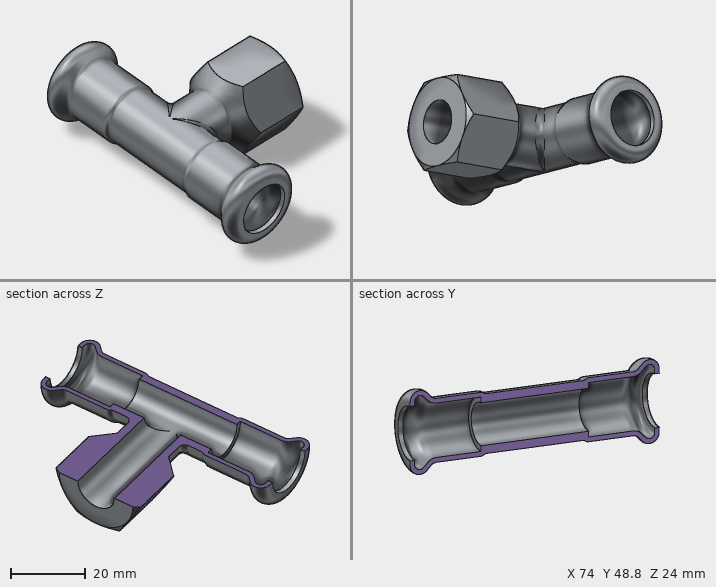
import cadquery as cq
import math

run_length = 74.0
tube_radius = 16.8 / 2
socket_radius = 18.0 / 2
bore_radius = 5.9
pipe_radius = 15.0 / 2

bead_radius = 2.95
bead_crest_radius = 11.8
bead_center_radius = bead_crest_radius - bead_radius
flank_blend_radius = 2.1

step_inset = 21.0
step_angle = math.radians(31)
step_outer_blend = 1.4
step_inner_blend = 0.8

pipe_stop_depth = 21.0

bead_wall = 1.5

branch_end = 37.0
cone_blend_radius = 0.5
hex_flats = 24.0
hex_corners = hex_flats / math.cos(math.radians(30))
cone_start = 15.0
junction_fillet = 1.8
blend_root_depth = 1.5
blend_sections = 11
blend_end_angle = math.radians(86)
end_chamfer_angle = math.radians(30)


def draw_bead(profile, wall, foot_radius):
    """Add the bead curve to a profile, set in by the wall, down to the straight socket."""
    arc_radius = bead_radius - wall
    blend_radius = flank_blend_radius + wall
    bead_x = bead_radius - run_length / 2
    diagonal = math.sqrt(0.5)
    flank_top_x = bead_x + arc_radius * diagonal
    flank_top_radius = bead_center_radius + arc_radius * diagonal
    flank_foot_radius = foot_radius + blend_radius * (1 - diagonal)
    flank_foot_x = flank_top_x + flank_top_radius - flank_foot_radius
    blend_end_x = flank_foot_x + blend_radius * diagonal
    half_angle = math.radians(22.5)
    bead_mid = (
        bead_x - arc_radius * math.sin(half_angle),
        bead_center_radius + arc_radius * math.cos(half_angle),
    )
    blend_mid = (
        blend_end_x - blend_radius * math.sin(half_angle),
        foot_radius + blend_radius * (1 - math.cos(half_angle)),
    )
    return (
        profile.lineTo(bead_x - arc_radius, bead_center_radius)
        .threePointArc(bead_mid, (flank_top_x, flank_top_radius))
        .lineTo(flank_foot_x, flank_foot_radius)
        .threePointArc(blend_mid, (blend_end_x, foot_radius))
    )


def half_run():
    """Outer body of the run from its -X mouth to the middle plane."""
    half_length = run_length / 2
    step_x = step_inset - half_length

    def outer_blend_point(angle):
        return (
            step_x + step_outer_blend * math.sin(angle),
            socket_radius - step_outer_blend * (1 - math.cos(angle)),
        )

    slope_top = outer_blend_point(step_angle)
    slope_foot_radius = tube_radius + step_inner_blend * (1 - math.cos(step_angle))
    slope_foot_x = slope_top[0] + (slope_top[1] - slope_foot_radius) / math.tan(step_angle)
    step_end_x = slope_foot_x + step_inner_blend * math.sin(step_angle)
    inner_mid = (
        step_end_x - step_inner_blend * math.sin(step_angle / 2),
        tube_radius + step_inner_blend * (1 - math.cos(step_angle / 2)),
    )

    profile = cq.Workplane("XY").moveTo(-half_length, 0)
    return (
        draw_bead(profile, 0, socket_radius)
        .lineTo(step_x, socket_radius)
        .threePointArc(outer_blend_point(step_angle / 2), slope_top)
        .lineTo(slope_foot_x, slope_foot_radius)
        .threePointArc(inner_mid, (step_end_x, tube_radius))
        .lineTo(0, tube_radius)
        .lineTo(0, 0)
        .close()
        .revolve(360, (0, 0, 0), (1, 0, 0))
    )


def cylinder_x(radius, start, end):
    return cq.Workplane("YZ").workplane(offset=start).circle(radius).extrude(end - start)


def cylinder_y(radius, start, end):
    return cq.Workplane("XZ").workplane(offset=-start).circle(radius).extrude(start - end)


def junction_blend():
    """Concave blend in the +X corner between run and branch, fading out toward the crossing points."""
    tangent_far = tube_radius + junction_fillet
    arc_mid = tangent_far - junction_fillet * math.sqrt(0.5)
    root = tube_radius - blend_root_depth
    sections = []
    for index in range(blend_sections):
        angle = blend_end_angle * (2 * index / (blend_sections - 1) - 1)
        scale = math.cos(angle)
        wire = (
            cq.Workplane("XY")
            .workplane(offset=tube_radius * math.sin(angle))
            .moveTo(tangent_far * scale, tube_radius * scale)
            .threePointArc((arc_mid * scale, arc_mid * scale), (tube_radius * scale, tangent_far * scale))
            .lineTo(root * scale, root * scale)
            .close()
            .wires()
            .val()
        )
        sections.append(wire)
    return cq.Workplane(obj=cq.Solid.makeLoft(sections))


def hex_head():
    """Hexagon trimmed by a 45 degree cone at its root and a 30 degree chamfer at its end."""
    corner_radius = hex_corners / 2
    flat_radius = hex_flats / 2
    cone_end = cone_start + corner_radius - tube_radius
    chamfer_start = branch_end - (corner_radius - flat_radius) * math.tan(end_chamfer_angle)
    root_angle = math.radians(45)
    blend_start = cone_start - cone_blend_radius * math.tan(root_angle / 2)

    def blend_point(angle):
        return (
            tube_radius + cone_blend_radius * (1 - math.cos(angle)),
            blend_start + cone_blend_radius * math.sin(angle),
        )

    envelope = (
        cq.Workplane("XY")
        .moveTo(0, blend_start)
        .lineTo(tube_radius, blend_start)
        .threePointArc(blend_point(root_angle / 2), blend_point(root_angle))
        .lineTo(corner_radius, cone_end)
        .lineTo(corner_radius, chamfer_start)
        .lineTo(flat_radius, branch_end)
        .lineTo(0, branch_end)
        .close()
        .revolve(360, (0, 0, 0), (0, 1, 0))
    )
    hexagon = (
        cq.Workplane("XZ")
        .workplane(offset=-blend_start)
        .polygon(6, hex_corners)
        .extrude(blend_start - branch_end)
    )
    return hexagon.intersect(envelope)


def socket_cavity():
    """Pipe socket with its seal groove at the -X mouth."""
    mouth = -run_length / 2
    stop_x = mouth + pipe_stop_depth
    lip_x = mouth + bead_wall
    profile = cq.Workplane("XY").moveTo(mouth, 0).lineTo(mouth, pipe_radius).lineTo(lip_x, pipe_radius)
    return (
        draw_bead(profile, bead_wall, pipe_radius)
        .lineTo(stop_x, pipe_radius)
        .lineTo(stop_x, 0)
        .close()
        .revolve(360, (0, 0, 0), (1, 0, 0))
    )


left_half = half_run()
branch_tube = cylinder_y(tube_radius, 0, cone_start)
body = left_half.union(left_half.mirror("YZ")).union(branch_tube).union(hex_head())
right_blend = junction_blend()
body = body.union(right_blend).union(right_blend.mirror("YZ"))

left_cavity = socket_cavity()
body = body.cut(left_cavity).cut(left_cavity.mirror("YZ"))
body = body.cut(cylinder_x(bore_radius, -run_length / 2, run_length / 2))
result = body.cut(cylinder_y(bore_radius, 0, branch_end))